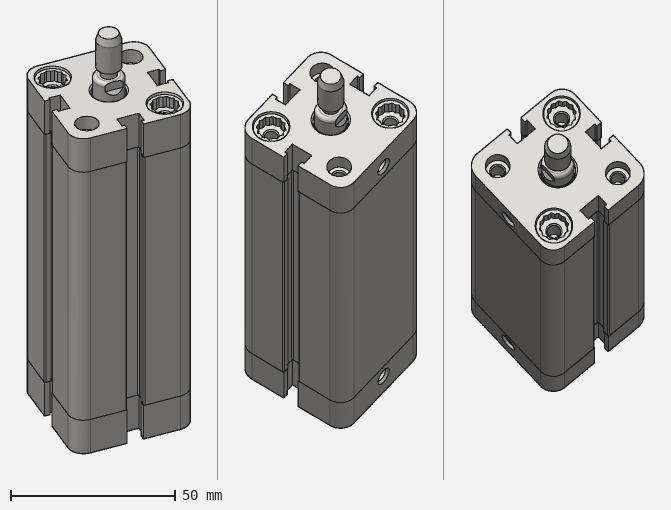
import cadquery as cq

TOTAL_HEIGHT = 141.0
BODY_WIDTH = 40.3
BODY_HEIGHT = 119.3
CAP_HEIGHT = 12.7
TUBE_HEIGHT = BODY_HEIGHT - 2 * CAP_HEIGHT
HALF_WIDTH = BODY_WIDTH / 2
CORNER_RADIUS = 5.2

SLOT_ANGLES = (0, 90, -90)
SLOT_DEPTH = 5.6
SLOT_FLOOR_WIDTH = 7.3
SLOT_MOUTH_WIDTH = 5.5
CAP_LIP = 1.8
TUBE_LIP = 2.1
TUBE_SLOT_CHAMFER = 0.4

CORNER_HOLE_OFFSET = 13.0
THREAD_HOLE_DIAMETER = 4.1
THREAD_MOUTH_DIAMETER = 5.0
COUNTERBORE_DIAMETER = 7.5
COUNTERBORE_DEPTH = 5.0
RECESS_TOP_DIAMETER = 11.4
RECESS_FLOOR_DIAMETER = 10.9
RECESS_DEPTH = 0.7
SOCKET_CORNER_DIAMETER = 9.0
SOCKET_DEPTH = 4.0

PORT_DIAMETER = 4.1
PORT_MOUTH_DIAMETER = 5.8
PORT_DEPTH = 7.0
PORT_EDGE_DISTANCE = 7.8

ROD_DIAMETER = 10.0
ROD_BORE_RIM_DIAMETER = 12.0
ROD_CLEARANCE_DIAMETER = 10.9
ROD_CLEARANCE_DEPTH = 1.4
ROD_BORE_CHAMFER = (ROD_BORE_RIM_DIAMETER - ROD_CLEARANCE_DIAMETER) / 2
SHOULDER_HEIGHT = 6.0
SHOULDER_FILLET = 1.4
NECK_DIAMETER = 5.4
THREAD_DIAMETER = 8.0
THREAD_LENGTH = 13.4
THREAD_END_CHAMFER = 0.7
TIP_DIAMETER = 6.3
TIP_HEIGHT = 2.7
FLATS_WIDTH = 8.0
FLATS_BOTTOM = 3.0
FLATS_RUNOUT = 1.4


def square_block(base_z, height):
    """Square block with rounded vertical edges."""
    block = cq.Workplane("XY").box(BODY_WIDTH, BODY_WIDTH, height, centered=(True, True, False))
    return block.edges("|Z").fillet(CORNER_RADIUS).translate((0, 0, base_z))


def slot_cutter(lip, chamfer, base_z, height):
    """T-slot prism for the +X side; a chamfer flares its mouth and cuts its floor corners."""
    floor_x = HALF_WIDTH - SLOT_DEPTH
    lip_x = HALF_WIDTH - lip
    half_floor = SLOT_FLOOR_WIDTH / 2
    half_mouth = SLOT_MOUTH_WIDTH / 2
    neck = [(lip_x, half_floor), (lip_x, half_mouth)]
    if chamfer > 0:
        floor_end = [(floor_x, half_floor - chamfer), (floor_x + chamfer, half_floor)]
        mouth_end = [(HALF_WIDTH - chamfer, half_mouth), (HALF_WIDTH, half_mouth + chamfer)]
    else:
        floor_end = [(floor_x, half_floor)]
        mouth_end = [(HALF_WIDTH, half_mouth)]
    upper_half = floor_end + neck + mouth_end
    lower_half = [(x, -y) for x, y in reversed(upper_half)]
    outline = cq.Workplane("XY").workplane(offset=base_z).polyline(upper_half + lower_half)
    return outline.close().extrude(height)


def slotted_block(base_z, height, lip, chamfer=0.0):
    """Square block with a T-slot along three of its sides."""
    block = square_block(base_z, height)
    cutter = slot_cutter(lip, chamfer, base_z, height)
    for angle in SLOT_ANGLES:
        block = block.cut(cutter.rotate((0, 0, 0), (0, 0, 1), angle))
    return block


def revolved(half_outline):
    """Solid of revolution about Z from (radius, z) points that start and end on the axis."""
    return cq.Workplane("XZ").polyline(half_outline).close().revolve(360, (0, 0, 0), (0, 1, 0))


def chamfered_hole_cutter(diameter, mouth_diameter, depth):
    """Plain hole with a 45 degree mouth, opening at z = 0 and running down."""
    radius = diameter / 2
    mouth_radius = mouth_diameter / 2
    return revolved([
        (0, 0),
        (mouth_radius, 0),
        (radius, radius - mouth_radius),
        (radius, -depth),
        (0, -depth),
    ])


def thread_hole_cutter(start_depth):
    """Threaded hole from a depth below the cap's top face through the rest of the cap."""
    hole = chamfered_hole_cutter(THREAD_HOLE_DIAMETER, THREAD_MOUTH_DIAMETER, CAP_HEIGHT - start_depth)
    return hole.translate((0, 0, -start_depth))


def counterbored_hole_cutter():
    """Counterbore followed by a threaded hole through the rest of the cap."""
    bore = cq.Workplane("XY").circle(COUNTERBORE_DIAMETER / 2).extrude(-COUNTERBORE_DEPTH)
    return bore.union(thread_hole_cutter(COUNTERBORE_DEPTH))


def socket_hole_cutter():
    """Tapered recess, twelve-point socket and a threaded hole through the rest of the cap."""
    socket_floor = RECESS_DEPTH + SOCKET_DEPTH
    cutter = revolved([
        (0, 0),
        (RECESS_TOP_DIAMETER / 2, 0),
        (RECESS_FLOOR_DIAMETER / 2, -RECESS_DEPTH),
        (0, -RECESS_DEPTH),
    ])
    hexagon = cq.Workplane("XY").polygon(6, SOCKET_CORNER_DIAMETER).extrude(-socket_floor)
    for angle in (0, 30):
        cutter = cutter.union(hexagon.rotate((0, 0, 0), (0, 0, 1), angle))
    return cutter.union(thread_hole_cutter(socket_floor))


def port_cutter(center_z):
    """Air port entering from the -X side."""
    port = chamfered_hole_cutter(PORT_DIAMETER, PORT_MOUTH_DIAMETER, PORT_DEPTH)
    port = port.rotate((0, 0, 0), (0, 1, 0), -90)
    return port.translate((-HALF_WIDTH, 0, center_z))


def rod_bore_cutter():
    """Through bore for the rod, with a chamfered clearance ring at the top."""
    clearance_radius = ROD_CLEARANCE_DIAMETER / 2
    bore_radius = ROD_DIAMETER / 2
    return revolved([
        (0, 0),
        (ROD_BORE_RIM_DIAMETER / 2, 0),
        (clearance_radius, -ROD_BORE_CHAMFER),
        (clearance_radius, -ROD_CLEARANCE_DEPTH),
        (bore_radius, -ROD_CLEARANCE_DEPTH),
        (bore_radius, -CAP_HEIGHT),
        (0, -CAP_HEIGHT),
    ])


def make_bottom_cap():
    cap = slotted_block(0, CAP_HEIGHT, CAP_LIP)
    return cap.cut(port_cutter(PORT_EDGE_DISTANCE))


def make_tube():
    return slotted_block(CAP_HEIGHT, TUBE_HEIGHT, TUBE_LIP, TUBE_SLOT_CHAMFER)


def make_top_cap():
    cap = slotted_block(BODY_HEIGHT - CAP_HEIGHT, CAP_HEIGHT, CAP_LIP)
    cap = cap.cut(port_cutter(BODY_HEIGHT - PORT_EDGE_DISTANCE))
    cap = cap.cut(rod_bore_cutter().translate((0, 0, BODY_HEIGHT)))
    socket_hole = socket_hole_cutter()
    counterbored_hole = counterbored_hole_cutter()
    for side in (-1, 1):
        offset = side * CORNER_HOLE_OFFSET
        cap = cap.cut(socket_hole.translate((offset, offset, BODY_HEIGHT)))
        cap = cap.cut(counterbored_hole.translate((offset, -offset, BODY_HEIGHT)))
    return cap


def rod_flat_cutter():
    """Material removed beside the +X wrench flat, with a sloped lower end."""
    flat_x = FLATS_WIDTH / 2
    outer_x = ROD_DIAMETER / 2
    bottom_z = BODY_HEIGHT + FLATS_BOTTOM - FLATS_RUNOUT
    shoulder_z = BODY_HEIGHT + SHOULDER_HEIGHT
    outline = cq.Workplane("XZ").polyline([
        (flat_x, bottom_z + FLATS_RUNOUT),
        (outer_x, bottom_z),
        (outer_x, shoulder_z),
        (flat_x, shoulder_z),
    ])
    return outline.close().extrude(ROD_DIAMETER / 2, both=True)


def make_rod():
    rod_radius = ROD_DIAMETER / 2
    neck_radius = NECK_DIAMETER / 2
    thread_radius = THREAD_DIAMETER / 2
    rod_bottom = BODY_HEIGHT - CAP_HEIGHT
    shoulder_z = BODY_HEIGHT + SHOULDER_HEIGHT
    thread_bottom = TOTAL_HEIGHT - THREAD_LENGTH
    shank = cq.Workplane("XY").workplane(offset=rod_bottom).circle(rod_radius)
    shank = shank.extrude(shoulder_z - rod_bottom).edges(">Z").fillet(SHOULDER_FILLET)
    stud = revolved([
        (0, shoulder_z),
        (neck_radius, shoulder_z),
        (neck_radius, thread_bottom),
        (thread_radius, thread_bottom + THREAD_END_CHAMFER),
        (thread_radius, TOTAL_HEIGHT - TIP_HEIGHT),
        (TIP_DIAMETER / 2, TOTAL_HEIGHT),
        (0, TOTAL_HEIGHT),
    ])
    rod = shank.union(stud)
    flat = rod_flat_cutter()
    return rod.cut(flat).cut(flat.mirror("YZ"))


bottom_cap = make_bottom_cap()
tube = make_tube()
top_cap = make_top_cap()
rod = make_rod()

result = cq.Compound.makeCompound([bottom_cap.val(), tube.val(), top_cap.val(), rod.val()])